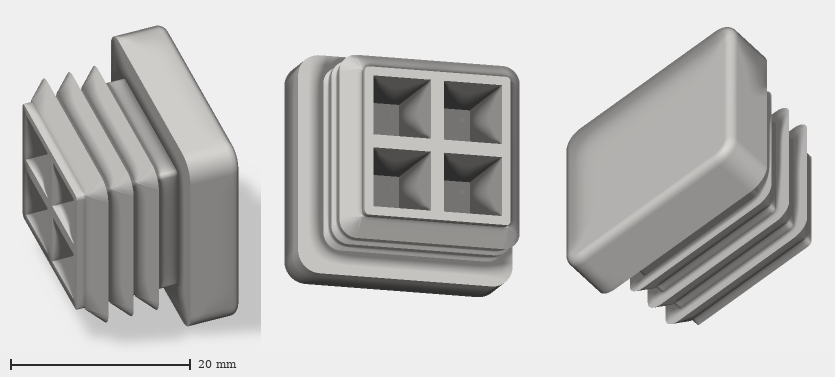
import cadquery as cq
import math

cap_side = 25.0
cap_thickness = 6.0
cap_corner_radius = 2.5
cap_edge_fillet = 1.0

stem_side = 17.0
stem_length = 12.0
stem_corner_radius = 0.5

fin_count = 3
fin_pitch = 3.0
fin_length = 2.0
fin_overhang = 2.0

pocket_wall = 1.0
pocket_rib = 1.5
pocket_depth = stem_length
pocket_side = (stem_side - 2 * pocket_wall - pocket_rib) / 2
pocket_spacing = pocket_side + pocket_rib


def make_cap():
    """Rounded square plate with its outer face edge filleted."""
    return (
        cq.Workplane("XZ")
        .rect(cap_side, cap_side)
        .extrude(-cap_thickness)
        .edges("|Y")
        .fillet(cap_corner_radius)
        .faces(">Y")
        .edges()
        .fillet(cap_edge_fillet)
    )


def make_stem():
    """Square post with slightly rounded long edges."""
    return (
        cq.Workplane("XZ")
        .rect(stem_side, stem_side)
        .extrude(stem_length)
        .edges("|Y")
        .fillet(stem_corner_radius)
    )


def make_fin(distance_from_cap):
    """Barb that flares from the stem surface to a sharp rim facing the cap, with conical corners."""
    flare_angle = math.degrees(math.atan2(fin_overhang, fin_length))
    base_distance = distance_from_cap + fin_length
    return (
        cq.Workplane("XZ", origin=(0, -base_distance, 0))
        .rect(stem_side, stem_side)
        .extrude(-fin_length, taper=-flare_angle)
    )


def make_pockets():
    """Two by two blind pockets, open at the free end of the stem."""
    return (
        cq.Workplane("XZ", origin=(0, -stem_length, 0))
        .rarray(pocket_spacing, pocket_spacing, 2, 2)
        .rect(pocket_side, pocket_side)
        .extrude(-pocket_depth)
    )


plug = make_cap().union(make_stem())
for fin_number in range(1, fin_count + 1):
    plug = plug.union(make_fin(fin_number * fin_pitch))

result = plug.cut(make_pockets())